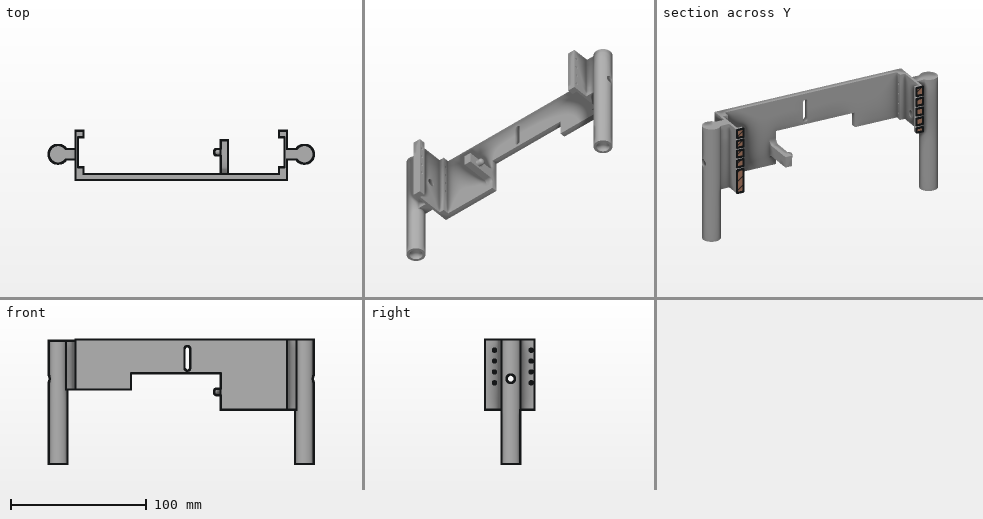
import cadquery as cq


frame_half_length = 78.0
frame_depth = 36.5
plate_thickness = 4.5
wall_thickness = 2.0
left_height = 37.0
middle_height = 25.0
right_height = 52.0
left_step_x = -37.0
right_step_x = 29.0

lip_reach = 6.0
front_lip_end_y = 9.5
rear_lip_start_y = 31.5

slot_x = 4.5
slot_z = -14.0
slot_width = 4.0
slot_length = 18.0

overall_length = 195.5
post_radius = 7.0
post_x = overall_length / 2 - post_radius
post_y = 19.0
post_bottom_z = -92.0
left_post_top_z = -1.0
neck_width = 8.0

post_bore_diameter = 10.0
post_cap_thickness = 2.0

cross_hole_diameter = 6.0
cross_hole_z = -29.0
screw_hole_diameter = 2.0
screw_hole_ys = (7.0, 34.0)
screw_hole_count = 4
screw_hole_pitch = 8.0
first_screw_hole_z = -8.0

arm_thickness = 5.5
arm_end_y = 29.5
arm_top_z = -34.5
arm_bottom_z = -43.0
arm_upper_fillet = 4.0
arm_lower_fillet = 3.0
pin_diameter = 5.0
pin_length = 4.8
pin_end_fillet = 2.0
pin_y = 20.5
pin_z = (arm_top_z + arm_bottom_z) / 2


def block(x_range, y_range, z_range):
    """Box spanning the given (low, high) ranges."""
    (x0, x1), (y0, y1), (z0, z1) = x_range, y_range, z_range
    return cq.Workplane("XY").box(x1 - x0, y1 - y0, z1 - z0, centered=False).translate((x0, y0, z0))


def make_front_plate():
    return (
        cq.Workplane("XZ")
        .moveTo(-frame_half_length, 0)
        .lineTo(frame_half_length, 0)
        .lineTo(frame_half_length, -right_height)
        .lineTo(right_step_x, -right_height)
        .lineTo(right_step_x, -middle_height)
        .lineTo(left_step_x, -middle_height)
        .lineTo(left_step_x, -left_height)
        .lineTo(-frame_half_length, -left_height)
        .close()
        .extrude(-plate_thickness)
    )


def make_side(side, height, post_top_z):
    """Wall with lips, neck and bored post; side is -1 for the left end and +1 for the right end."""

    def span(inner, outer):
        return tuple(sorted((side * inner, side * outer)))

    wall_inner_x = frame_half_length - wall_thickness
    lip_span = span(frame_half_length - lip_reach, frame_half_length)
    wall = block(span(wall_inner_x, frame_half_length), (0, frame_depth), (-height, 0))
    front_lip = block(lip_span, (0, front_lip_end_y), (-height, 0))
    rear_lip = block(lip_span, (rear_lip_start_y, frame_depth), (-height, 0))
    neck_y_range = (post_y - neck_width / 2, post_y + neck_width / 2)
    neck = block(span(wall_inner_x, post_x), neck_y_range, (-height, post_top_z))
    post = (
        cq.Workplane("XY", origin=(side * post_x, post_y, post_bottom_z))
        .circle(post_radius)
        .extrude(post_top_z - post_bottom_z)
    )
    bore = (
        cq.Workplane("XY", origin=(side * post_x, post_y, post_bottom_z))
        .circle(post_bore_diameter / 2)
        .extrude(post_top_z - post_cap_thickness - post_bottom_z)
    )
    return wall.union(front_lip).union(rear_lip).union(neck).union(post).cut(bore)


def make_arm():
    """Arm profile in the YZ plane, blended into the back of the plate above and below."""
    back_y = plate_thickness
    return (
        cq.Workplane("YZ", origin=(right_step_x, 0, 0))
        .moveTo(0, arm_top_z + arm_upper_fillet)
        .lineTo(back_y, arm_top_z + arm_upper_fillet)
        .radiusArc((back_y + arm_upper_fillet, arm_top_z), -arm_upper_fillet)
        .lineTo(arm_end_y, arm_top_z)
        .lineTo(arm_end_y, arm_bottom_z)
        .lineTo(back_y + arm_lower_fillet, arm_bottom_z)
        .radiusArc((back_y, arm_bottom_z - arm_lower_fillet), -arm_lower_fillet)
        .lineTo(0, arm_bottom_z - arm_lower_fillet)
        .close()
        .extrude(arm_thickness)
    )


def make_pin():
    return (
        cq.Workplane("YZ", origin=(right_step_x, pin_y, pin_z))
        .circle(pin_diameter / 2)
        .extrude(-pin_length)
        .faces("<X")
        .edges()
        .fillet(pin_end_fillet)
    )


def make_slot():
    return (
        cq.Workplane("XZ", origin=(slot_x, 0, slot_z))
        .slot2D(slot_length, slot_width, 90)
        .extrude(-plate_thickness)
    )


def make_cross_holes(points, diameter):
    """Cylinders along X at the given (y, z) points, long enough to pass through both sides."""
    half_length = overall_length / 2
    return (
        cq.Workplane("YZ")
        .pushPoints(points)
        .circle(diameter / 2)
        .extrude(half_length, both=True)
    )


screw_hole_points = [
    (y, first_screw_hole_z - row * screw_hole_pitch)
    for y in screw_hole_ys
    for row in range(screw_hole_count)
]

left_side = make_side(-1, left_height, left_post_top_z)
right_side = make_side(1, right_height, 0)
frame = make_front_plate().union(left_side).union(right_side)
frame = frame.cut(make_slot())
frame = frame.cut(make_cross_holes(screw_hole_points, screw_hole_diameter))
frame = frame.cut(make_cross_holes([(post_y, cross_hole_z)], cross_hole_diameter))
result = frame.union(make_arm()).union(make_pin())